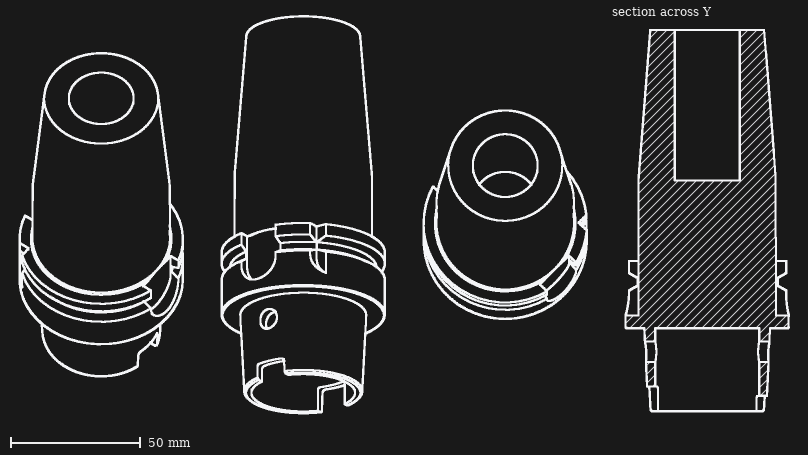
import cadquery as cq
import math


NOSE_TOP = 115.0
NOSE_RADIUS = 22.0
NOSE_TAPER = 4.5
BODY_RADIUS = 26.5
TOOL_BORE_DIAMETER = 25.0
TOOL_BORE_DEPTH = 58.0
NOSE_BASE = NOSE_TOP - (BODY_RADIUS - NOSE_RADIUS) / math.tan(math.radians(NOSE_TAPER))

FLANGE_RADIUS = 31.5
FLANGE_TOP = 26.0
FLANGE_CHAMFER = 0.4
FOOT_SIZE = 0.6
GROOVE_RADIUS = 28.35
GROOVE_CENTER = 17.95
GROOVE_FLOOR_WIDTH = 3.0
GROOVE_FLANK = 30.0
GROOVE_RISE = (FLANGE_RADIUS - GROOVE_RADIUS) * math.tan(math.radians(GROOVE_FLANK))
GROOVE_FLOOR_LOW = GROOVE_CENTER - GROOVE_FLOOR_WIDTH / 2
GROOVE_FLOOR_HIGH = GROOVE_CENTER + GROOVE_FLOOR_WIDTH / 2

SHANK_LENGTH = 32.0
SHANK_ROOT_RADIUS = 24.3
SHANK_TAPER_RATIO = 0.097
SHANK_END_RADIUS = SHANK_ROOT_RADIUS - SHANK_LENGTH * SHANK_TAPER_RATIO / 2
SHANK_CHAMFER = 0.7
SHANK_BORE_DIAMETER = 40.0
SHANK_BORE_DEPTH = SHANK_LENGTH

CROSS_HOLE_DIAMETER = 7.8
CROSS_HOLE_Z = -9.0

DRIVE_SLOT_WIDTH = 12.54
DRIVE_SLOT_CORNER = 1.2
DRIVE_SLOT_LEFT_TOP = -26.0
DRIVE_SLOT_RIGHT_TOP = -22.4

GRIP_SLOT_FLOOR = 26.5
GRIP_SLOT_BOTTOM = 5.0
GRIP_SLOT_LEFT_WIDTH = 16.0
GRIP_SLOT_RIGHT_WIDTH = 18.0

NOTCH_X = -20.0
NOTCH_Y = -20.0
NOTCH_RADIUS = 8.0
NOTCH_ARC_CENTER_Z = 13.0


def make_body():
    """Revolve the whole outer profile around Z."""
    profile = (
        cq.Workplane("XZ")
        .moveTo(0, NOSE_TOP)
        .lineTo(NOSE_RADIUS, NOSE_TOP)
        .lineTo(BODY_RADIUS, NOSE_BASE)
        .lineTo(BODY_RADIUS, FLANGE_TOP + FOOT_SIZE)
        .lineTo(BODY_RADIUS + FOOT_SIZE, FLANGE_TOP)
        .lineTo(FLANGE_RADIUS, FLANGE_TOP)
        .lineTo(FLANGE_RADIUS, GROOVE_FLOOR_HIGH + GROOVE_RISE)
        .lineTo(GROOVE_RADIUS, GROOVE_FLOOR_HIGH)
        .lineTo(GROOVE_RADIUS, GROOVE_FLOOR_LOW)
        .lineTo(FLANGE_RADIUS, GROOVE_FLOOR_LOW - GROOVE_RISE)
        .lineTo(FLANGE_RADIUS, FLANGE_CHAMFER)
        .lineTo(FLANGE_RADIUS - FLANGE_CHAMFER, 0)
        .lineTo(SHANK_ROOT_RADIUS, 0)
        .lineTo(SHANK_END_RADIUS, -SHANK_LENGTH)
        .lineTo(0, -SHANK_LENGTH)
        .close()
    )
    body = profile.revolve(360, (0, 0, 0), (0, 1, 0))
    return body.faces("<Z").edges().chamfer(SHANK_CHAMFER)


def make_bores():
    """Blind tool bore from the nose and clearance bore that hollows the shank."""
    tool_bore = (
        cq.Workplane("XY", origin=(0, 0, NOSE_TOP - TOOL_BORE_DEPTH))
        .circle(TOOL_BORE_DIAMETER / 2)
        .extrude(TOOL_BORE_DEPTH)
    )
    shank_bore = (
        cq.Workplane("XY", origin=(0, 0, -SHANK_LENGTH))
        .circle(SHANK_BORE_DIAMETER / 2)
        .extrude(SHANK_BORE_DEPTH)
    )
    return tool_bore.union(shank_bore)


def make_cross_hole():
    """Round hole along X, through both walls of the hollow shank."""
    return (
        cq.Workplane("YZ")
        .center(0, CROSS_HOLE_Z)
        .circle(CROSS_HOLE_DIAMETER / 2)
        .extrude(FLANGE_RADIUS, both=True)
    )


def make_drive_slot(side, top):
    """Slot open at the shank end, cut from the axis out to one X side."""
    height = top + SHANK_LENGTH
    return (
        cq.Workplane("YZ")
        .center(0, top - height / 2)
        .rect(DRIVE_SLOT_WIDTH, height)
        .extrude(side * FLANGE_RADIUS)
        .edges("|X and >Z")
        .fillet(DRIVE_SLOT_CORNER)
    )


def make_grip_slot(side, width):
    """Slot with a flat floor and a half-round lower end, open at the flange top."""
    radius = width / 2
    center_z = GRIP_SLOT_BOTTOM + radius
    slot_top = FLANGE_TOP + FOOT_SIZE
    return (
        cq.Workplane("YZ", origin=(side * GRIP_SLOT_FLOOR, 0, 0))
        .moveTo(-radius, slot_top)
        .lineTo(-radius, center_z)
        .threePointArc((0, GRIP_SLOT_BOTTOM), (radius, center_z))
        .lineTo(radius, slot_top)
        .close()
        .extrude(side * FLANGE_RADIUS)
    )


def make_notch():
    """Corner notch whose back wall runs out along a quarter round at the bottom."""
    arc_center_y = NOTCH_Y - NOTCH_RADIUS
    arc_bottom = NOTCH_ARC_CENTER_Z - NOTCH_RADIUS
    arc_offset = NOTCH_RADIUS * math.sqrt(0.5)
    return (
        cq.Workplane("YZ", origin=(NOTCH_X, 0, 0))
        .moveTo(NOTCH_Y, FLANGE_TOP)
        .lineTo(NOTCH_Y, NOTCH_ARC_CENTER_Z)
        .threePointArc(
            (arc_center_y + arc_offset, NOTCH_ARC_CENTER_Z - arc_offset),
            (arc_center_y, arc_bottom),
        )
        .lineTo(-FLANGE_RADIUS, arc_bottom)
        .lineTo(-FLANGE_RADIUS, FLANGE_TOP)
        .close()
        .extrude(-FLANGE_RADIUS)
    )


result = (
    make_body()
    .cut(make_bores())
    .cut(make_cross_hole())
    .cut(make_drive_slot(-1, DRIVE_SLOT_LEFT_TOP))
    .cut(make_drive_slot(1, DRIVE_SLOT_RIGHT_TOP))
    .cut(make_grip_slot(-1, GRIP_SLOT_LEFT_WIDTH))
    .cut(make_grip_slot(1, GRIP_SLOT_RIGHT_WIDTH))
    .cut(make_notch())
)